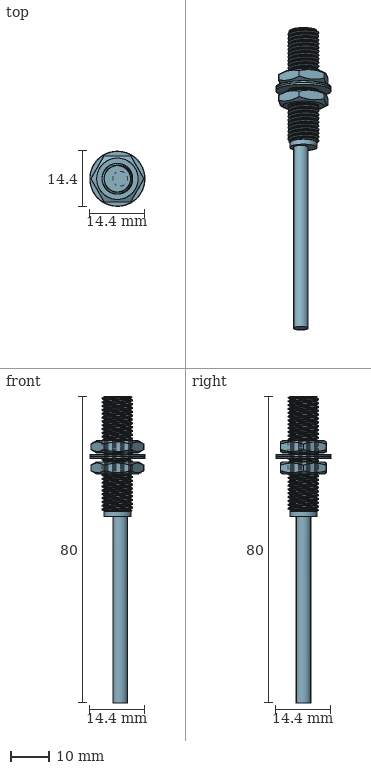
import cadquery as cq
import math

total_length = 80.0
barrel_length = 31.4
thread_length = 30.0
barrel_bottom = total_length - barrel_length
thread_bottom = total_length - thread_length

thread_diameter = 8.0
thread_turns = 30
thread_pitch = thread_length / thread_turns
thread_depth = 0.6
crest_width = thread_pitch / 8
root_width = thread_pitch / 4
ridge_embedding = 0.1
end_chamfer_height = 0.3
collar_diameter = 7.1
thread_radius = thread_diameter / 2
root_radius = thread_radius - thread_depth

cable_diameter = 3.8
cable_offset_x = 0.7

nut_across_flats = 12.0
nut_height = 3.2
nut_face_diameter = 10.8
nut_chamfer_angle = 30.0
upper_nut_bottom = 65.3
lower_nut_bottom = 59.8

washer_diameter = 14.4
washer_thickness = 0.5
washer_joint_z = 64.3


def make_thread_ridge():
    """Right-hand helical ridge, running past both ends of the thread and rooted inside the core."""
    ridge_length = (thread_turns + 2) * thread_pitch
    ridge_bottom = total_length + thread_pitch - ridge_length
    flank_slope = (thread_pitch - crest_width - root_width) / 2 / thread_depth
    base_radius = root_radius - ridge_embedding
    crest_half = crest_width / 2
    base_half = crest_half + flank_slope * (thread_radius - base_radius)
    helix = cq.Wire.makeHelix(thread_pitch, ridge_length, base_radius)
    profile = cq.Workplane("XZ").polyline([
        (base_radius, -base_half),
        (thread_radius, -crest_half),
        (thread_radius, crest_half),
        (base_radius, base_half),
    ]).close()
    ridge = profile.sweep(cq.Workplane(helix), isFrenet=True)
    return ridge.translate((0, 0, ridge_bottom))


def make_thread_envelope():
    """Double cone that trims the thread to length and chamfers both of its ends."""
    rim_radius = thread_diameter
    rim_drop = end_chamfer_height / thread_depth * (rim_radius - root_radius)
    return cq.Workplane("XZ").polyline([
        (0, thread_bottom),
        (root_radius, thread_bottom),
        (rim_radius, thread_bottom + rim_drop),
        (rim_radius, total_length - rim_drop),
        (root_radius, total_length),
        (0, total_length),
    ]).close().revolve(360, (0, 0, 0), (0, 1, 0))


def make_cylinder(diameter, bottom_z, top_z, center_x=0):
    """Upright cylinder between two heights."""
    return (
        cq.Workplane("XY", origin=(center_x, 0, bottom_z))
        .circle(diameter / 2)
        .extrude(top_z - bottom_z)
    )


def make_sensor():
    """Threaded barrel with its plain collar and the cable leaving the collar."""
    core = make_cylinder(2 * root_radius, thread_bottom - thread_pitch, total_length + thread_pitch)
    threaded = core.union(make_thread_ridge()).intersect(make_thread_envelope())
    collar = make_cylinder(collar_diameter, barrel_bottom, thread_bottom)
    cable = make_cylinder(cable_diameter, 0, barrel_bottom, cable_offset_x)
    return threaded.union(collar).union(cable)


def make_nut(bottom_z):
    """Hexagon nut with corners on the X axis and both faces chamfered conically."""
    corner_radius = nut_across_flats / math.sqrt(3)
    face_radius = nut_face_diameter / 2
    chamfer_drop = (corner_radius - face_radius) * math.tan(math.radians(nut_chamfer_angle))
    hexagon = cq.Workplane("XY").polygon(6, 2 * corner_radius).extrude(nut_height)
    chamfer_envelope = cq.Workplane("XZ").polyline([
        (0, 0),
        (face_radius, 0),
        (corner_radius, chamfer_drop),
        (corner_radius, nut_height - chamfer_drop),
        (face_radius, nut_height),
        (0, nut_height),
    ]).close().revolve(360, (0, 0, 0), (0, 1, 0))
    bore = cq.Workplane("XY").circle(thread_radius).extrude(nut_height)
    return hexagon.intersect(chamfer_envelope).cut(bore).translate((0, 0, bottom_z))


def make_washer(bottom_z):
    """Flat ring fitting around the thread crests."""
    return (
        cq.Workplane("XY", origin=(0, 0, bottom_z))
        .circle(washer_diameter / 2)
        .circle(thread_radius)
        .extrude(washer_thickness)
    )


sensor = make_sensor()
nuts = [make_nut(z) for z in (lower_nut_bottom, upper_nut_bottom)]
washers = [make_washer(z) for z in (washer_joint_z - washer_thickness, washer_joint_z)]

bodies = [sensor, *nuts, *washers]
result = cq.Compound.makeCompound([body.solids().val() for body in bodies])